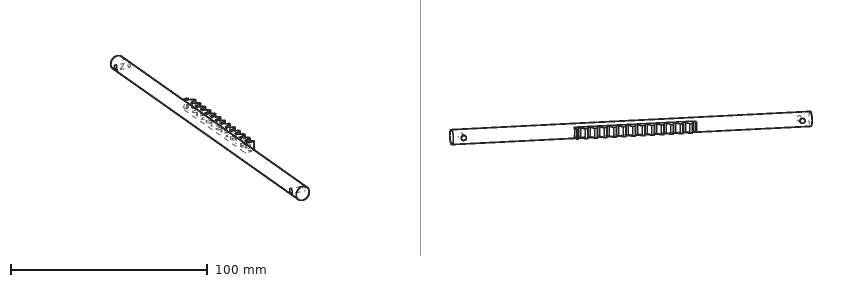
import cadquery as cq
import math

shaft_length = 188.1
shaft_diameter = 7.7
shaft_radius = shaft_diameter / 2

hole_diameter = 2.6
left_hole_inset = 5.0
right_hole_inset = 5.5

total_depth = 12.2
rack_inset = 61.1
rack_length = 63.4
rack_width = 5.0
pitch = 4.99
first_tooth_offset = 3.5
pressure_angle = math.radians(20)

module = pitch / math.pi
addendum = module
dedendum = 1.25 * module
tip_y = total_depth - shaft_radius
pitch_line_y = tip_y - addendum
root_y = pitch_line_y - dedendum
tip_half_width = pitch / 4 - addendum * math.tan(pressure_angle)
root_half_width = pitch / 4 + dedendum * math.tan(pressure_angle)

rack_start = rack_inset - shaft_length / 2
rack_end = rack_start + rack_length


def make_shaft():
    return (
        cq.Workplane("YZ", origin=(-shaft_length / 2, 0, 0))
        .circle(shaft_radius)
        .extrude(shaft_length)
    )


def make_rack():
    first_center = rack_start + first_tooth_offset - pitch
    tooth_count = math.ceil(rack_length / pitch) + 1
    outline = [(first_center - pitch / 2, 0), (first_center - pitch / 2, root_y)]
    for index in range(tooth_count):
        center = first_center + index * pitch
        outline += [
            (center - root_half_width, root_y),
            (center - tip_half_width, tip_y),
            (center + tip_half_width, tip_y),
            (center + root_half_width, root_y),
        ]
    last_center = first_center + (tooth_count - 1) * pitch
    outline += [(last_center + pitch / 2, root_y), (last_center + pitch / 2, 0)]
    toothed_bar = cq.Workplane("XY").polyline(outline).close().extrude(rack_width / 2, both=True)
    envelope = cq.Workplane("XY").box(rack_length, tip_y, rack_width).translate(
        ((rack_start + rack_end) / 2, tip_y / 2, 0)
    )
    return toothed_bar.intersect(envelope)


def make_cross_holes():
    hole_centers = [
        (-shaft_length / 2 + left_hole_inset, 0),
        (shaft_length / 2 - right_hole_inset, 0),
    ]
    return (
        cq.Workplane("XZ")
        .pushPoints(hole_centers)
        .circle(hole_diameter / 2)
        .extrude(shaft_diameter, both=True)
    )


result = make_shaft().union(make_rack()).cut(make_cross_holes())